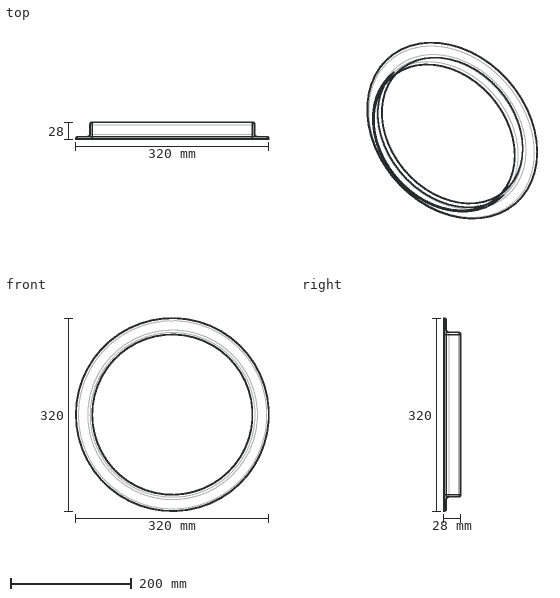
import cadquery as cq
import math

flange_diameter = 320.0
collar_diameter = 273.0
wall = 4.0
total_length = 28.0
edge_radius = wall
root_radius = 4.0

flange_radius = flange_diameter / 2
collar_radius = collar_diameter / 2
bore_radius = collar_radius - wall


def arc_point(center_x, center_y, radius, angle_degrees):
    """Point on a circle of the section plane."""
    angle = math.radians(angle_degrees)
    return (center_x + radius * math.cos(angle), center_y + radius * math.sin(angle))


def ring_section():
    """L-shaped wall section on the -X side of the axis."""
    flange_round_x = -flange_radius + edge_radius
    flange_round_y = wall - edge_radius
    root_x = -collar_radius - root_radius
    root_y = wall + root_radius
    collar_round_x = -collar_radius + edge_radius
    collar_round_y = total_length - edge_radius
    return (
        cq.Workplane("XY")
        .moveTo(-bore_radius, 0)
        .lineTo(-flange_radius, flange_round_y)
        .threePointArc(
            arc_point(flange_round_x, flange_round_y, edge_radius, 135),
            (flange_round_x, wall),
        )
        .lineTo(root_x, wall)
        .threePointArc(
            arc_point(root_x, root_y, root_radius, -45),
            (-collar_radius, root_y),
        )
        .lineTo(-collar_radius, collar_round_y)
        .threePointArc(
            arc_point(collar_round_x, collar_round_y, edge_radius, 135),
            (collar_round_x, total_length),
        )
        .close()
    )


result = ring_section().revolve(360, (0, 0, 0), (0, 1, 0))